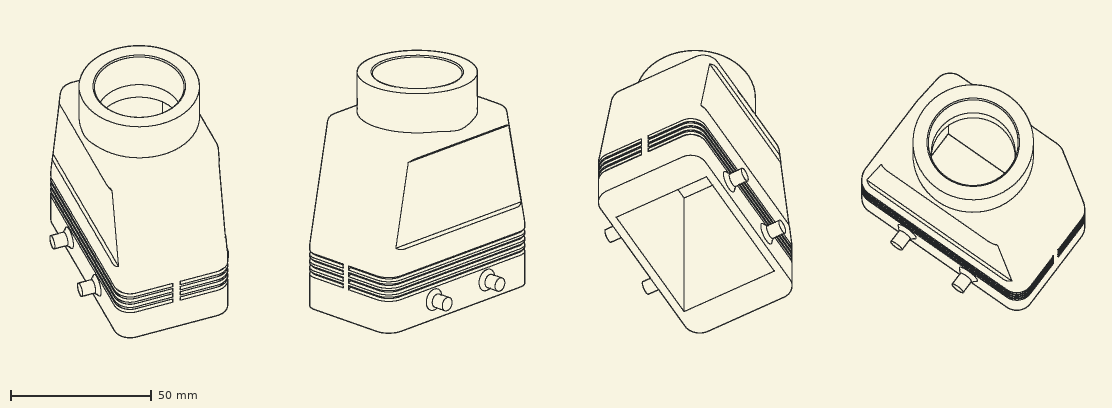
import cadquery as cq
import math

BASE_LENGTH = 73.0
DEPTH = 43.0
DECK_HEIGHT = 70.0
DECK_LENGTH = 54.0
TAPER_START = 23.5
TAPER_BLEND_RADIUS = 6.5
CORNER_RADIUS = 6.0
DECK_EDGE_RADIUS = 2.5

COLLAR_DIAMETER = 43.0
COLLAR_TOP = 85.0
COLLAR_FOOT_INSET = 0.5
COLLAR_ROOT = DECK_HEIGHT - DECK_EDGE_RADIUS

BORE_DIAMETER = 32.0
BORE_STRAIGHT_DEPTH = 11.2
BORE_CHAMFER = 0.5
THROAT_DIAMETER = 30.0
BORE_BOTTOM_RADIUS = 2.0

CAVITY_LENGTH = 49.0
CAVITY_DEPTH = 37.0
CAVITY_TOP = 66.0

RECESS_DEPTH = 1.0
RECESS_BOTTOM = 31.0
RECESS_TOP = 64.0

GROOVE_COUNT = 4
GROOVE_PITCH = 2.5
GROOVE_DEPTH = 0.8
FIRST_GROOVE_HEIGHT = 13.0
GROOVE_GAP = 2.8
GROOVE_FLANK_ANGLE = 45.0

PEG_DIAMETER = 5.0
PEG_SPAN = 56.0
PEG_SPACING = 27.0
PEG_HEIGHT = 7.5
PEG_FLARE = 1.5

OVERCUT = 1.0


def make_body():
    """Solid tapered hood, extruded through the depth and rounded."""
    half_base = BASE_LENGTH / 2
    half_deck = DECK_LENGTH / 2
    body = (
        cq.Workplane("XZ")
        .polyline([
            (-half_base, 0),
            (half_base, 0),
            (half_base, TAPER_START),
            (half_deck, DECK_HEIGHT),
            (-half_deck, DECK_HEIGHT),
            (-half_base, TAPER_START),
        ])
        .close()
        .extrude(DEPTH / 2, both=True)
    )
    knee_margin = 0.1
    knee_edges = cq.selectors.BoxSelector(
        (-BASE_LENGTH, -DEPTH, TAPER_START - knee_margin),
        (BASE_LENGTH, DEPTH, TAPER_START + knee_margin),
    )
    body = body.edges("|Y").edges(knee_edges).fillet(TAPER_BLEND_RADIUS)
    body = body.faces("<Y or >Y").edges("not #Z").fillet(CORNER_RADIUS)
    return body.faces(">Z").edges().fillet(DECK_EDGE_RADIUS)


def make_recess(side):
    """Cutter for one bevelled recess; side is -1 for -Y and +1 for +Y."""
    face = side * DEPTH / 2
    floor = face - side * RECESS_DEPTH
    return (
        cq.Workplane("YZ")
        .polyline([
            (face, RECESS_BOTTOM),
            (floor, RECESS_BOTTOM + RECESS_DEPTH),
            (floor, RECESS_TOP - RECESS_DEPTH),
            (face, RECESS_TOP),
        ])
        .close()
        .extrude(BASE_LENGTH / 2, both=True)
    )


def make_groove(height):
    """Cutter for one V groove centred at the given height."""
    groove_width = 2 * GROOVE_DEPTH
    slab = cq.Workplane("XY").box(BASE_LENGTH, DEPTH, groove_width)
    outline = cq.Sketch().rect(BASE_LENGTH, DEPTH).vertices().fillet(CORNER_RADIUS)
    lower_half = (
        cq.Workplane("XY")
        .workplane(offset=-GROOVE_DEPTH)
        .placeSketch(outline)
        .extrude(GROOVE_DEPTH, taper=GROOVE_FLANK_ANGLE)
    )
    upper_half = lower_half.mirror("XY")
    gap = cq.Workplane("XY").box(BASE_LENGTH, GROOVE_GAP, groove_width)
    groove = slab.cut(lower_half).cut(upper_half).cut(gap)
    return groove.translate((0, 0, height))


def make_collar():
    """Round collar whose foot narrows slightly as it sinks into the deck edge."""
    collar_radius = COLLAR_DIAMETER / 2
    foot_radius = collar_radius - COLLAR_FOOT_INSET
    return (
        cq.Workplane("XZ")
        .polyline([
            (0, COLLAR_ROOT),
            (foot_radius, COLLAR_ROOT),
            (collar_radius, DECK_HEIGHT),
            (collar_radius, COLLAR_TOP),
            (0, COLLAR_TOP),
        ])
        .close()
        .revolve(360, (0, 0), (0, 1))
    )


def make_bore():
    """Revolved cutter: chamfered mouth, bore with a rounded bottom corner, and throat."""
    bore_radius = BORE_DIAMETER / 2
    throat_radius = THROAT_DIAMETER / 2
    arc_start = COLLAR_TOP - BORE_STRAIGHT_DEPTH
    arc_centre = bore_radius - BORE_BOTTOM_RADIUS
    arc_sweep = math.acos((throat_radius - arc_centre) / BORE_BOTTOM_RADIUS)

    def arc_point(angle):
        return (
            arc_centre + BORE_BOTTOM_RADIUS * math.cos(angle),
            arc_start - BORE_BOTTOM_RADIUS * math.sin(angle),
        )

    return (
        cq.Workplane("XZ")
        .moveTo(0, COLLAR_TOP)
        .lineTo(bore_radius + BORE_CHAMFER, COLLAR_TOP)
        .lineTo(bore_radius, COLLAR_TOP - BORE_CHAMFER)
        .lineTo(bore_radius, arc_start)
        .threePointArc(arc_point(arc_sweep / 2), arc_point(arc_sweep))
        .lineTo(throat_radius, CAVITY_TOP - OVERCUT)
        .lineTo(0, CAVITY_TOP - OVERCUT)
        .close()
        .revolve(360, (0, 0), (0, 1))
    )


def make_cavity():
    """Straight-walled cutter for the hollow inside."""
    return cq.Workplane("XY").rect(CAVITY_LENGTH, CAVITY_DEPTH).extrude(CAVITY_TOP)


def make_peg(x, side):
    """Round peg with a conical flare at its root, pointing along side * Y."""
    radius = PEG_DIAMETER / 2
    root = CAVITY_DEPTH / 2
    face = DEPTH / 2
    peg = (
        cq.Workplane("XY")
        .polyline([
            (0, root),
            (radius + PEG_FLARE, root),
            (radius + PEG_FLARE, face),
            (radius, face + PEG_FLARE),
            (radius, PEG_SPAN / 2),
            (0, PEG_SPAN / 2),
        ])
        .close()
        .revolve(360, (0, 0), (0, 1))
    )
    if side < 0:
        peg = peg.mirror("XZ")
    return peg.translate((x, 0, PEG_HEIGHT))


hood = make_body()
for side in (-1, 1):
    hood = hood.cut(make_recess(side))
for index in range(GROOVE_COUNT):
    hood = hood.cut(make_groove(FIRST_GROOVE_HEIGHT + index * GROOVE_PITCH))
hood = hood.union(make_collar()).cut(make_cavity()).cut(make_bore())
for side in (-1, 1):
    for x in (-PEG_SPACING / 2, PEG_SPACING / 2):
        hood = hood.union(make_peg(x, side))

result = hood